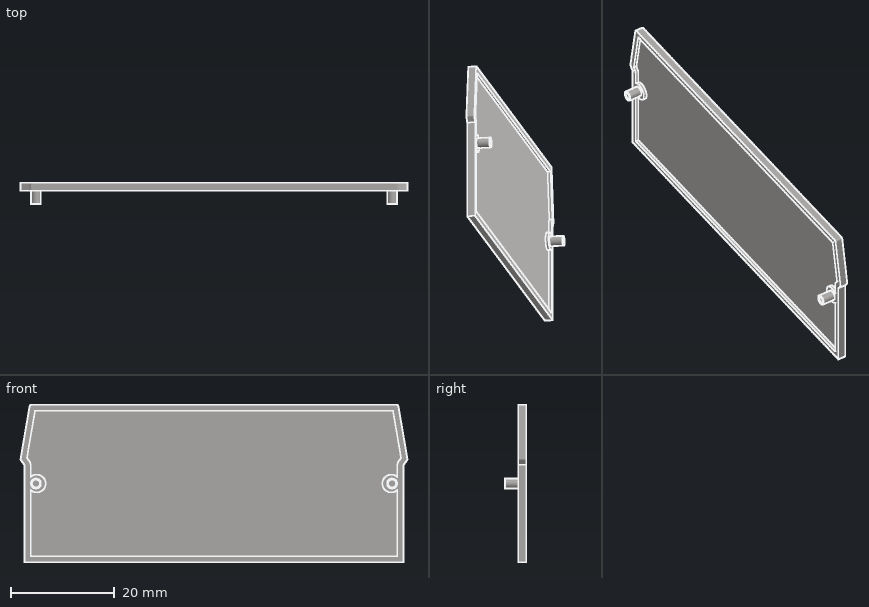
import cadquery as cq

WIDTH = 74.7
HEIGHT = 30.5
DEPTH = 4.2

PLATE_THICKNESS = 1.6
LOWER_INSET = 0.75
TOP_INSET = 1.8
SHOULDER_DROP = 10.6
STEP_DROP = 11.65
TOP_CORNER_RADIUS = 0.45
SHOULDER_RADIUS = 0.3

SHOULDER_TRIM = 0.018

RIM_WIDTH = 1.2
RECESS_DEPTH = 0.6

PIN_DIAMETER = 1.95
PIN_SPACING = 68.7
PIN_HEIGHT = HEIGHT / 2
PIN_LENGTH = DEPTH - PLATE_THICKNESS
DIMPLE_DIAMETER = 1.6
DIMPLE_DEPTH = 0.15

BOSS_DIAMETER = 3.4
BOSS_INBOARD_OFFSET = 0.15
BOSS_SPACING = PIN_SPACING - 2 * BOSS_INBOARD_OFFSET


def plate_outline():
    """Sharp-cornered plate profile, front face on y = 0 and bottom edge on z = 0."""
    lower_x = WIDTH / 2 - LOWER_INSET
    shoulder_x = WIDTH / 2 + SHOULDER_TRIM
    top_x = WIDTH / 2 - TOP_INSET
    step_z = HEIGHT - STEP_DROP
    shoulder_z = HEIGHT - SHOULDER_DROP
    right_side = [(lower_x, 0), (lower_x, step_z), (shoulder_x, shoulder_z), (top_x, HEIGHT)]
    left_side = [(-x, z) for x, z in reversed(right_side)]
    return cq.Workplane("XZ").polyline(right_side + left_side).close()


def make_plate():
    plate = plate_outline().extrude(-PLATE_THICKNESS)
    plate = plate.edges("|Y").edges("<X or >X").fillet(SHOULDER_RADIUS)
    return plate.edges("|Y").edges(">Z").fillet(TOP_CORNER_RADIUS)


def mirrored_discs(diameter, spacing, front, back):
    """Two discs at pin height, one on each side, spanning y from front to back."""
    centers = [(-spacing / 2, PIN_HEIGHT), (spacing / 2, PIN_HEIGHT)]
    base = cq.Workplane("XZ", origin=(0, back, 0))
    return base.pushPoints(centers).circle(diameter / 2).extrude(back - front)


def make_recess():
    """Volume removed from the front face, leaving the rim and the bosses standing."""
    pocket = plate_outline().offset2D(-RIM_WIDTH, "arc").extrude(-RECESS_DEPTH)
    return pocket.cut(mirrored_discs(BOSS_DIAMETER, BOSS_SPACING, 0, RECESS_DEPTH))


def make_pins():
    pins = mirrored_discs(PIN_DIAMETER, PIN_SPACING, -PIN_LENGTH, 0)
    dimples = mirrored_discs(DIMPLE_DIAMETER, PIN_SPACING, -PIN_LENGTH, DIMPLE_DEPTH - PIN_LENGTH)
    return pins.cut(dimples)


result = make_plate().cut(make_recess()).union(make_pins())